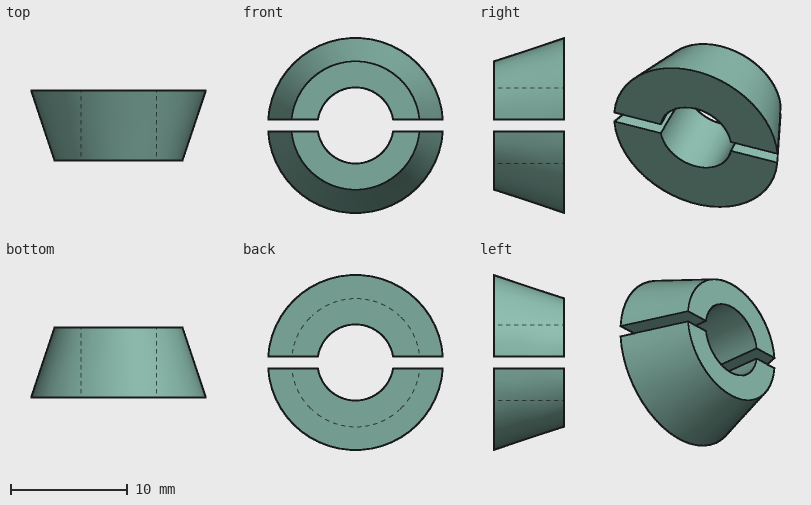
import cadquery as cq

large_diameter = 15.0
small_diameter = 11.0
bore_diameter = 6.5
length = 6.0
split_gap = 1.0


def tapered_ring():
    """Full bored cone, narrow end at Y = 0 and wide end at Y = length."""
    section = [
        (bore_diameter / 2, 0),
        (small_diameter / 2, 0),
        (large_diameter / 2, length),
        (bore_diameter / 2, length),
    ]
    return cq.Workplane("XY").polyline(section).close().revolve(360, (0, 0, 0), (0, 1, 0))


def collet_half(side):
    """Half of the ring, above the gap for side = 1 and below it for side = -1."""
    block_height = large_diameter
    keep_block = (
        cq.Workplane("XY")
        .box(large_diameter, length, block_height, centered=(True, False, True))
        .translate((0, 0, side * (split_gap + block_height) / 2))
    )
    return tapered_ring().intersect(keep_block)


collet_halves = []
for side in (1, -1):
    collet_halves.append(collet_half(side).solids().val())

result = cq.Compound.makeCompound(collet_halves)